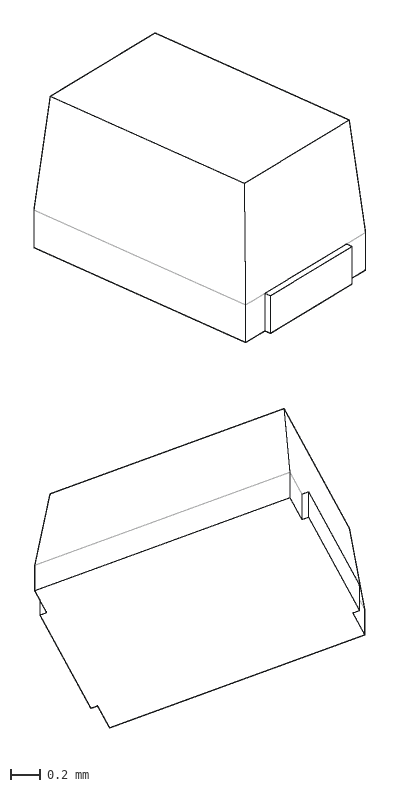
import cadquery as cq
import math

overall_length = 2.0
body_width = 1.25
overall_height = 1.2

base_height = 0.3
terminal_projection = 0.05
terminal_width = 0.85
body_length = overall_length - 2 * terminal_projection

draft_angle = 5.0
upper_height = overall_height - base_height
draft_inset = upper_height * math.tan(math.radians(draft_angle))
top_length = body_length - 2 * draft_inset
top_width = body_width - 2 * draft_inset


def make_base():
    """Rectangular lower part of the body, standing on Z = 0."""
    return cq.Workplane("XY").box(body_length, body_width, base_height, centered=(True, True, False))


def make_upper_body():
    """Upper part of the body, narrowing evenly on all four sides."""
    return (
        cq.Workplane("XY")
        .workplane(offset=base_height)
        .rect(body_length, body_width)
        .workplane(offset=upper_height)
        .rect(top_length, top_width)
        .loft(ruled=True)
    )


def make_terminals():
    """Bar through the base whose two ends stand proud as the terminals."""
    return cq.Workplane("XY").box(
        overall_length, terminal_width, base_height, centered=(True, True, False)
    )


result = make_base().union(make_upper_body()).union(make_terminals())